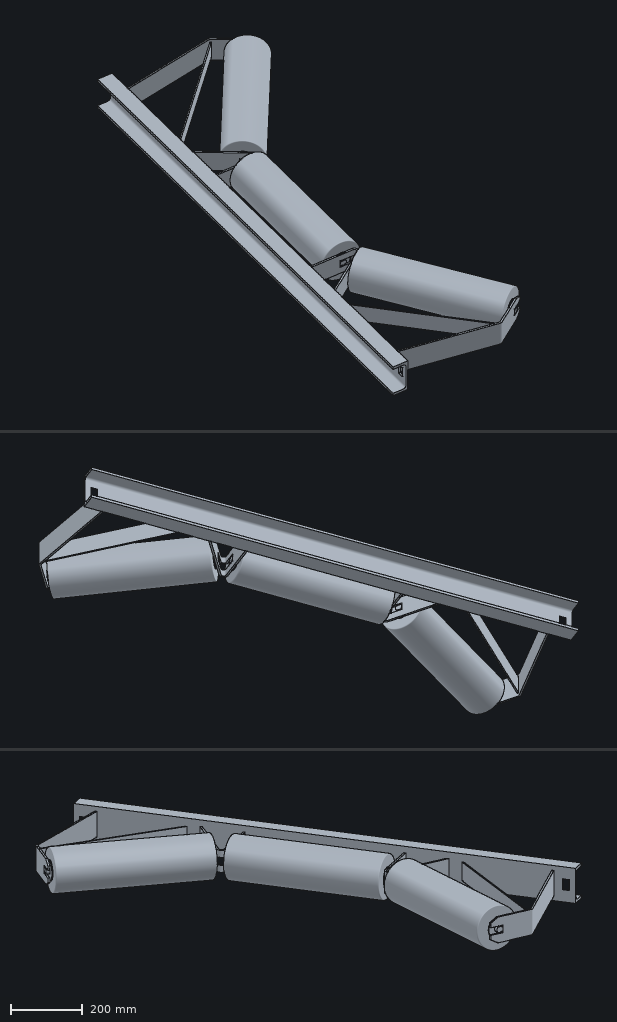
import cadquery as cq
import math

BEAM_LENGTH = 1500.0
BEAM_DEPTH = 50.0
BEAM_HEIGHT = 105.0
WEB_THICKNESS = 6.0
FLANGE_THICKNESS = 9.0
ROOT_RADIUS = 10.0
BEAM_HOLE_WIDTH = 20.0
BEAM_HOLE_HEIGHT = 32.0
BEAM_HOLE_X = 722.0

ROLLER_DIAMETER = 134.0
ROLLER_LENGTH = 465.0
ROLLER_EDGE_FILLET = 3.0
HUB_RADIUS = 30.0
HUB_LENGTH = 3.0
SHAFT_RADIUS = 10.0
SHAFT_FLAT_WIDTH = 16.0
TILT = 35.0
OVERALL_DEPTH = 502.0
MIDDLE_ROLLER_Y = 168.0
SIDE_ROLLER_X = 477.0

BRACKET_THICKNESS = 6.0
INNER_BRACKET_WIDTH = 66.0
OUTER_BRACKET_WIDTH = 76.0
SLOT_WIDTH = 22.0
MIDDLE_GAP = 5.0
INNER_GAP = 6.0
INNER_BEND_RADIUS = 8.0
OUTER_GAP = 9.0
OUTER_BEND_RADIUS = 5.0
OUTER_FOOT_X = 682.0
KNEE_DROP = 108.0
TIP_RISE = 32.0
TIP_CHAMFER_RISE = 24.0
TIP_CHAMFER_WIDTH = 14.0

STRUT_THICKNESS = 5.0
STRUT_WIDTH = 55.0
STRUT_FOOT_X = 414.0
STRUT_TOP_DROP = 104.0

TILT_COS = math.cos(math.radians(TILT))
TILT_SIN = math.sin(math.radians(TILT))
ROLLER_RADIUS = ROLLER_DIAMETER / 2
HALF_LENGTH = ROLLER_LENGTH / 2
SIDE_ROLLER_Y = (
    OVERALL_DEPTH
    - (HALF_LENGTH - ROLLER_EDGE_FILLET) * TILT_SIN
    - (ROLLER_RADIUS - ROLLER_EDGE_FILLET) * TILT_COS
    - ROLLER_EDGE_FILLET
)
MIDDLE_PLATE = HALF_LENGTH + MIDDLE_GAP + BRACKET_THICKNESS / 2
INNER_PLATE = HALF_LENGTH + INNER_GAP + BRACKET_THICKNESS / 2
OUTER_PLATE = HALF_LENGTH + OUTER_GAP + BRACKET_THICKNESS / 2
MIDDLE_REACH = MIDDLE_GAP + BRACKET_THICKNESS
INNER_REACH = INNER_GAP + BRACKET_THICKNESS
OUTER_REACH = OUTER_GAP + BRACKET_THICKNESS


def on_side_roller(along, across):
    """Point in XY measured from the right roller's centre, outward along its axis and up across it."""
    x = SIDE_ROLLER_X + along * TILT_COS - across * TILT_SIN
    y = SIDE_ROLLER_Y + along * TILT_SIN + across * TILT_COS
    return (x, y)


MIDDLE_SEAT = (MIDDLE_PLATE, MIDDLE_ROLLER_Y)
INNER_SEAT = on_side_roller(-INNER_PLATE, 0)
OUTER_SEAT = on_side_roller(OUTER_PLATE, 0)
KNEE = on_side_roller(OUTER_PLATE, -KNEE_DROP)
STRUT_TOP = on_side_roller(OUTER_PLATE, -STRUT_TOP_DROP)
TIP = on_side_roller(OUTER_PLATE, TIP_RISE)


def make_beam():
    half_height = BEAM_HEIGHT / 2
    half_inside = half_height - FLANGE_THICKNESS
    web_front = BEAM_DEPTH - WEB_THICKNESS
    profile = [
        (0, half_height),
        (BEAM_DEPTH, half_height),
        (BEAM_DEPTH, -half_height),
        (0, -half_height),
        (0, -half_inside),
        (web_front, -half_inside),
        (web_front, half_inside),
        (0, half_inside),
    ]
    start = cq.Workplane("YZ", origin=(-BEAM_LENGTH / 2, 0, 0))
    beam = start.polyline(profile).close().extrude(BEAM_LENGTH)
    for z in (-half_inside, half_inside):
        root = cq.selectors.NearestToPointSelector((0, web_front, z))
        beam = beam.edges("|X").edges(root).fillet(ROOT_RADIUS)
    holes = (
        cq.Workplane("XZ")
        .pushPoints([(-BEAM_HOLE_X, 0), (BEAM_HOLE_X, 0)])
        .rect(BEAM_HOLE_WIDTH, BEAM_HOLE_HEIGHT)
        .extrude(-BEAM_DEPTH)
    )
    return beam.cut(holes)


def rod(radius, start_x, end_x):
    """Cylinder along the X axis."""
    return cq.Workplane("YZ", origin=(start_x, 0, 0)).circle(radius).extrude(end_x - start_x)


def make_roller(left_reach, right_reach):
    """Roller along X at the origin; its shaft reaches past the two end faces."""
    shell = rod(ROLLER_RADIUS, -HALF_LENGTH, HALF_LENGTH).faces("|X").edges().fillet(ROLLER_EDGE_FILLET)
    hubs = rod(HUB_RADIUS, -HALF_LENGTH - HUB_LENGTH, HALF_LENGTH + HUB_LENGTH)
    shaft = rod(SHAFT_RADIUS, -HALF_LENGTH - left_reach, HALF_LENGTH + right_reach)
    flats = cq.Workplane("XY").box(2 * ROLLER_LENGTH, 2 * SHAFT_RADIUS, SHAFT_FLAT_WIDTH)
    return shell.union(hubs).union(shaft.intersect(flats))


def make_middle_roller():
    return make_roller(MIDDLE_REACH, MIDDLE_REACH).translate((0, MIDDLE_ROLLER_Y, 0))


def make_side_roller():
    roller = make_roller(INNER_REACH, OUTER_REACH)
    return roller.rotate((0, 0, 0), (0, 0, 1), TILT).translate((SIDE_ROLLER_X, SIDE_ROLLER_Y, 0))


def make_bar(start, end, thickness, width):
    """Straight flat bar whose centre line joins two points in XY."""
    run_x = end[0] - start[0]
    run_y = end[1] - start[1]
    length = math.hypot(run_x, run_y)
    middle = ((start[0] + end[0]) / 2, (start[1] + end[1]) / 2, 0)
    bar = cq.Workplane("XY").box(length, thickness, width)
    return bar.rotate((0, 0, 0), (0, 0, 1), math.degrees(math.atan2(run_y, run_x))).translate(middle)


def make_bent_bar(start, corner, end, bend_radius, width):
    """Flat bar bent once: two straight legs joined by an arc tangent to both; corner is where they meet."""
    to_start = cq.Vector(*start) - cq.Vector(*corner)
    to_end = cq.Vector(*end) - cq.Vector(*corner)
    half_angle = to_start.getAngle(to_end) / 2
    middle_radius = bend_radius + BRACKET_THICKNESS / 2
    bisector = (to_start.normalized() + to_end.normalized()).normalized()
    centre = cq.Vector(*corner) + bisector * (middle_radius / math.sin(half_angle))
    setback = middle_radius / math.tan(half_angle)
    first = cq.Vector(*corner) + to_start.normalized() * setback
    second = cq.Vector(*corner) + to_end.normalized() * setback

    def outline_side(offset):
        """Ends and arc points of one face, offset outward from the centre line."""
        out_first = (first - centre).normalized() * offset
        out_second = (second - centre).normalized() * offset
        top = centre - bisector * (middle_radius + offset)
        points = (
            cq.Vector(*start) + out_first,
            first + out_first,
            top,
            second + out_second,
            cq.Vector(*end) + out_second,
        )
        return [(point.x, point.y) for point in points]

    outside = outline_side(BRACKET_THICKNESS / 2)
    inside = outline_side(-BRACKET_THICKNESS / 2)
    return (
        cq.Workplane("XY", origin=(0, 0, -width / 2))
        .moveTo(*outside[0])
        .lineTo(*outside[1])
        .threePointArc(outside[2], outside[3])
        .lineTo(*outside[4])
        .lineTo(*inside[4])
        .lineTo(*inside[3])
        .threePointArc(inside[2], inside[1])
        .lineTo(*inside[0])
        .close()
        .extrude(width)
    )


def trim_to_beam(body):
    """Remove what lies in front of the beam's back face."""
    size = BEAM_LENGTH
    return body.cut(cq.Workplane("XY").box(size, size, size).translate((0, BEAM_DEPTH - size / 2, 0)))


def leg_end(top, foot_x):
    """End of a leg on Y = 0, its centre line crossing the beam's back face at foot_x."""
    lean = (top[0] - foot_x) / (top[1] - BEAM_DEPTH)
    return (foot_x - lean * BEAM_DEPTH, 0)


def shaft_slot(seat, angle):
    """Cutter for a slot around a shaft centred on the seat, open in the given direction in XY."""
    depth = 4 * BRACKET_THICKNESS
    length = OUTER_BRACKET_WIDTH
    slot = cq.Workplane("XY").box(length, depth, SLOT_WIDTH).translate((length / 2 - SHAFT_RADIUS, 0, 0))
    return slot.rotate((0, 0, 0), (0, 0, 1), angle).translate((*seat, 0))


def make_inner_bracket():
    """Hairpin plate: an upright leg for the middle roller and a leaning leg for the side roller."""
    corner_y = INNER_SEAT[1] + (INNER_SEAT[0] - MIDDLE_PLATE) * TILT_COS / TILT_SIN
    corner = (MIDDLE_PLATE, corner_y)
    foot = (MIDDLE_PLATE + corner_y * TILT_SIN / TILT_COS, 0)
    bracket = make_bent_bar((MIDDLE_PLATE, 0), corner, foot, INNER_BEND_RADIUS, INNER_BRACKET_WIDTH)
    bracket = bracket.cut(shaft_slot(MIDDLE_SEAT, 90)).cut(shaft_slot(INNER_SEAT, 90 + TILT))
    return trim_to_beam(bracket)


def tip_corner(side):
    """Cutter for one tip corner of the outer bracket; side is 1 for +Z and -1 for -Z."""
    half_width = OUTER_BRACKET_WIDTH / 2
    depth = 4 * BRACKET_THICKNESS
    corner = (
        cq.Workplane("YZ", origin=(-depth / 2, 0, 0))
        .moveTo(0, side * half_width)
        .lineTo(-TIP_CHAMFER_RISE, side * half_width)
        .lineTo(0, side * (half_width - TIP_CHAMFER_WIDTH))
        .close()
        .extrude(depth)
    )
    return corner.rotate((0, 0, 0), (0, 0, 1), TILT).translate((*TIP, 0))


def make_outer_bracket():
    """Plate bent at the knee, slotted for the shaft, with its two tip corners cut off."""
    foot = leg_end(KNEE, OUTER_FOOT_X)
    bracket = make_bent_bar(foot, KNEE, TIP, OUTER_BEND_RADIUS, OUTER_BRACKET_WIDTH)
    bracket = bracket.cut(shaft_slot(OUTER_SEAT, 90 + TILT))
    for side in (-1, 1):
        bracket = bracket.cut(tip_corner(side))
    return trim_to_beam(bracket)


def make_strut(outer_bracket):
    """Bar ending on the inside faces of the outer bracket's knee."""
    bar = make_bar(leg_end(STRUT_TOP, STRUT_FOOT_X), STRUT_TOP, STRUT_THICKNESS, STRUT_WIDTH)
    return trim_to_beam(bar).cut(outer_bracket)


beam = make_beam()
middle_roller = make_middle_roller()
side_roller = make_side_roller()
inner_bracket = make_inner_bracket()
outer_bracket = make_outer_bracket()
strut = make_strut(outer_bracket)

bodies = [beam.val(), middle_roller.val()]
for side_body in (side_roller, inner_bracket, outer_bracket, strut):
    bodies.append(side_body.val())
    bodies.append(side_body.mirror("YZ").val())

result = cq.Compound.makeCompound(bodies)